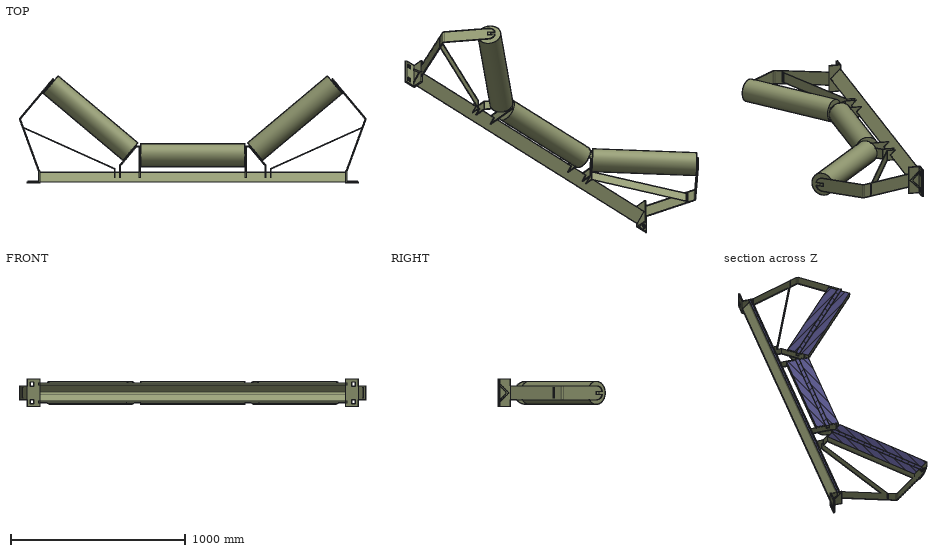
import cadquery as cq
import math

BEAM_LENGTH = 1777.0
BEAM_RIDGE_Y = 62.0
BEAM_EDGE_Y = 4.0
BEAM_WALL_Y = 12.0
BEAM_BEND_RADIUS = 12.0

FOOT_OUTER_X = 952.0
FOOT_HEIGHT = 160.0
FOOT_THICKNESS = 10.0
FOOT_CHAMFER = 5.0
FLANGE_TOP_Y = 70.0
HOLE_X = 925.0
HOLE_SPACING = 100.0
HOLE_WIDTH = 18.0
HOLE_HEIGHT = 24.0

ROLLER_DIAMETER = 133.0
ROLLER_LENGTH = 600.0
MIDDLE_ROLLER_Y = 160.0
WING_ANGLE = 40.0
WING_X = 588.0
WING_Y = 372.0
SHAFT_WIDTH = 18.0

STRIP_THICKNESS = 5.0
ARM_WIDTH = 80.0
ARM_GAP = 5.0
ARM_ELBOW_Y = 368.0
ARM_BEND_RADIUS = 14.0
ARM_TIP_REACH = 35.0

BRACKET_WIDTH = 60.0
BRACKET_GAP = 2.0
BRACKET_TOP_Y = 213.0
BRACKET_LEG_X = 422.0

BRACE_WIDTH = 60.0
BRACE_THICKNESS = 3.0
BRACE_LEG_X = 446.0
BRACE_BEND_Y = 82.0
BRACE_END_Y = 323.0

AXIS_X = -math.cos(math.radians(WING_ANGLE))
AXIS_Y = math.sin(math.radians(WING_ANGLE))
ACROSS_X = AXIS_Y
ACROSS_Y = -AXIS_X

ARM_INNER = ROLLER_LENGTH / 2 + ARM_GAP
ARM_OUTER = ARM_INNER + STRIP_THICKNESS
BRACKET_NEAR = ROLLER_LENGTH / 2 + BRACKET_GAP
BRACKET_FAR = BRACKET_NEAR + STRIP_THICKNESS

FLANGE_X = BEAM_LENGTH / 2


def wing_point(along, across):
    """Point of the left wing, measured along and across its roller axis from the roller centre."""
    x = -WING_X + along * AXIS_X + across * ACROSS_X
    y = WING_Y + along * AXIS_Y + across * ACROSS_Y
    return (x, y)


def wing_point_at_y(along, y):
    """Point at height y on the line square to the wing axis at the given distance along it."""
    return wing_point(along, (y - wing_point(along, 0)[1]) / ACROSS_Y)


def wing_point_at_x(along, x):
    """Point at position x on the line square to the wing axis at the given distance along it."""
    return wing_point(along, (x - wing_point(along, 0)[0]) / ACROSS_X)


ARM_FOOT = (-FLANGE_X, FLANGE_TOP_Y)
ARM_ELBOW = wing_point_at_y(ARM_OUTER, ARM_ELBOW_Y)
ARM_TIP = wing_point(ARM_OUTER, ARM_TIP_REACH)


def prism(outline, width):
    """Outline in the XY plane, extruded evenly to both sides of Z = 0."""
    return cq.Workplane("XY", origin=(0, 0, -width / 2)).polyline(outline).close().extrude(width)


def offset_to_right(path, distance):
    """Path moved to the right of its direction of travel, with mitred corners."""
    normals = []
    for (x0, y0), (x1, y1) in zip(path, path[1:]):
        length = math.hypot(x1 - x0, y1 - y0)
        normals.append(((y1 - y0) / length, (x0 - x1) / length))
    before = [normals[0]] + normals
    after = normals + [normals[-1]]
    moved = []
    for (x, y), (ax, ay), (bx, by) in zip(path, before, after):
        reach = distance / (1 + ax * bx + ay * by)
        moved.append((x + reach * (ax + bx), y + reach * (ay + by)))
    return moved


def bent_strip(path, width, thickness):
    """Strip whose left face follows the path and whose body lies to the right of it."""
    return prism(path + offset_to_right(path, thickness)[::-1], width)


def mirrored(body):
    return body.mirror("YZ")



def make_roller():
    """Roller along X, centred on the origin and bored for its shaft."""
    end = cq.Workplane("YZ", origin=(-ROLLER_LENGTH / 2, 0, 0))
    roller = end.circle(ROLLER_DIAMETER / 2).extrude(ROLLER_LENGTH)
    return roller.cut(make_shaft(-ROLLER_LENGTH, ROLLER_LENGTH))


def make_shaft(start_x, end_x):
    """Square shaft along X."""
    base = cq.Workplane("YZ", origin=(start_x, 0, 0))
    return base.rect(SHAFT_WIDTH, SHAFT_WIDTH).extrude(end_x - start_x)


def on_middle(body):
    return body.translate((0, MIDDLE_ROLLER_Y, 0))


def on_left_wing(body):
    """Turns a body along X onto the left wing, its -X end outward."""
    return body.rotate((0, 0, 0), (0, 0, 1), -WING_ANGLE).translate((-WING_X, WING_Y, 0))


middle_shaft = on_middle(make_shaft(-BRACKET_FAR, BRACKET_FAR))
left_shaft = on_left_wing(make_shaft(-ARM_OUTER, BRACKET_FAR))
shafts = [middle_shaft, left_shaft, mirrored(left_shaft)]

left_roller = on_left_wing(make_roller())
rollers = [on_middle(make_roller()), left_roller, mirrored(left_roller)]



def beam_prism(section):
    return cq.Workplane("YZ", origin=(-BEAM_LENGTH / 2, 0, 0)).polyline(section).close().extrude(BEAM_LENGTH)


def make_beam_envelope():
    """Beam without its hollow."""
    half_width = BEAM_RIDGE_Y - BEAM_EDGE_Y
    return beam_prism([(BEAM_RIDGE_Y, 0), (BEAM_EDGE_Y, half_width), (BEAM_EDGE_Y, -half_width)])


def make_beam_hollow():
    """Groove between the legs, open at Y = 0."""
    ridge_y = BEAM_RIDGE_Y - BEAM_WALL_Y
    hollow = beam_prism([(ridge_y, 0), (0, ridge_y), (0, -ridge_y)])
    return hollow.edges("|X and >Y").fillet(BEAM_BEND_RADIUS)


def make_left_bracket():
    """Leg beside the middle roller, short top, face square to the wing roller, outer leg."""
    path = [
        (-BRACKET_LEG_X, 0),
        wing_point_at_x(-BRACKET_NEAR, -BRACKET_LEG_X),
        wing_point_at_y(-BRACKET_NEAR, BRACKET_TOP_Y),
        (-BRACKET_NEAR, BRACKET_TOP_Y),
        (-BRACKET_NEAR, 0),
    ]
    return bent_strip(path, BRACKET_WIDTH, STRIP_THICKNESS)


def arm_face_x(y):
    """X of the outer face of the left arm below its elbow."""
    rise = (y - ARM_FOOT[1]) / (ARM_ELBOW[1] - ARM_FOOT[1])
    return ARM_FOOT[0] + rise * (ARM_ELBOW[0] - ARM_FOOT[0])


def make_left_brace():
    """Short leg on the beam, then a straight run that ends flush with the arm's outer face."""
    bend = (-BRACE_LEG_X, BRACE_BEND_Y)
    end = (arm_face_x(BRACE_END_Y), BRACE_END_Y)
    beyond_arm = (2 * end[0] - bend[0], 2 * end[1] - bend[1])
    brace = bent_strip([beyond_arm, bend, (-BRACE_LEG_X, 0)], BRACE_WIDTH, BRACE_THICKNESS)
    inside_arm = prism([(0, 0), (-FLANGE_X, 0), ARM_FOOT, ARM_ELBOW, (0, ARM_ELBOW_Y)], ARM_WIDTH)
    return brace.intersect(inside_arm)


beam_hollow = make_beam_hollow()
angle_section = make_beam_envelope().cut(beam_hollow)
left_brace = make_left_brace()
left_bracket = make_left_bracket()
beam = make_beam_envelope()
for fitting in (left_bracket, left_brace):
    beam = beam.union(fitting).union(mirrored(fitting))
beam = beam.cut(beam_hollow)
for shaft in shafts:
    beam = beam.cut(shaft)



def make_left_foot():
    """Plate on Y = 0 with an upright flange at its inner edge."""
    flange_inner_x = -FLANGE_X + FOOT_THICKNESS
    outline = [
        (-FOOT_OUTER_X, 0),
        (-FOOT_OUTER_X, FOOT_THICKNESS),
        (-FLANGE_X, FOOT_THICKNESS),
        ARM_FOOT,
        (flange_inner_x, FLANGE_TOP_Y),
        (flange_inner_x, 0),
    ]
    outer_corner = cq.selectors.NearestToPointSelector((-FOOT_OUTER_X, FOOT_THICKNESS, 0))
    foot = prism(outline, FOOT_HEIGHT).edges(outer_corner).chamfer(FOOT_CHAMFER)
    holes = (
        cq.Workplane("XZ", origin=(-HOLE_X, 0, 0))
        .rarray(20, HOLE_SPACING, 1, 2)
        .rect(HOLE_WIDTH, HOLE_HEIGHT)
        .extrude(-FOOT_THICKNESS)
    )
    return foot.cut(holes)


def make_left_arm():
    """Bent strip that rises from the flange, with a rounded tip and an open slot for the shaft."""
    path = [(-FLANGE_X, FOOT_THICKNESS), ARM_FOOT, ARM_ELBOW, ARM_TIP]
    inner_elbow = offset_to_right(path, STRIP_THICKNESS)[2]
    arm = bent_strip(path, ARM_WIDTH, STRIP_THICKNESS)
    bends = ((ARM_ELBOW, ARM_BEND_RADIUS), (inner_elbow, ARM_BEND_RADIUS - STRIP_THICKNESS))
    for (x, y), radius in bends:
        arm = arm.edges(cq.selectors.NearestToPointSelector((x, y, 0))).fillet(radius)

    x, y = wing_point(ARM_INNER, 0)
    face = cq.Plane(origin=(x, y, 0), xDir=(ACROSS_X, ACROSS_Y, 0), normal=(AXIS_X, AXIS_Y, 0))
    tip_radius = ARM_WIDTH / 2
    tip_centre = ARM_TIP_REACH - tip_radius
    tip_block = (
        cq.Workplane(face)
        .center(tip_centre + tip_radius / 2, 0)
        .rect(tip_radius, ARM_WIDTH)
        .extrude(STRIP_THICKNESS)
    )
    tip_disc = cq.Workplane(face).center(tip_centre, 0).circle(tip_radius).extrude(STRIP_THICKNESS)
    slot_start = -SHAFT_WIDTH / 2
    slot_length = ARM_TIP_REACH - slot_start
    slot = (
        cq.Workplane(face)
        .center(slot_start + slot_length / 2, 0)
        .rect(slot_length, SHAFT_WIDTH)
        .extrude(STRIP_THICKNESS)
    )
    return arm.cut(tip_block.cut(tip_disc)).cut(slot)


left_support = make_left_foot().union(make_left_arm()).cut(angle_section).cut(left_brace)
end_supports = [left_support, mirrored(left_support)]

bodies = [beam] + end_supports + rollers + shafts
result = cq.Compound.makeCompound([body.solids().val() for body in bodies])